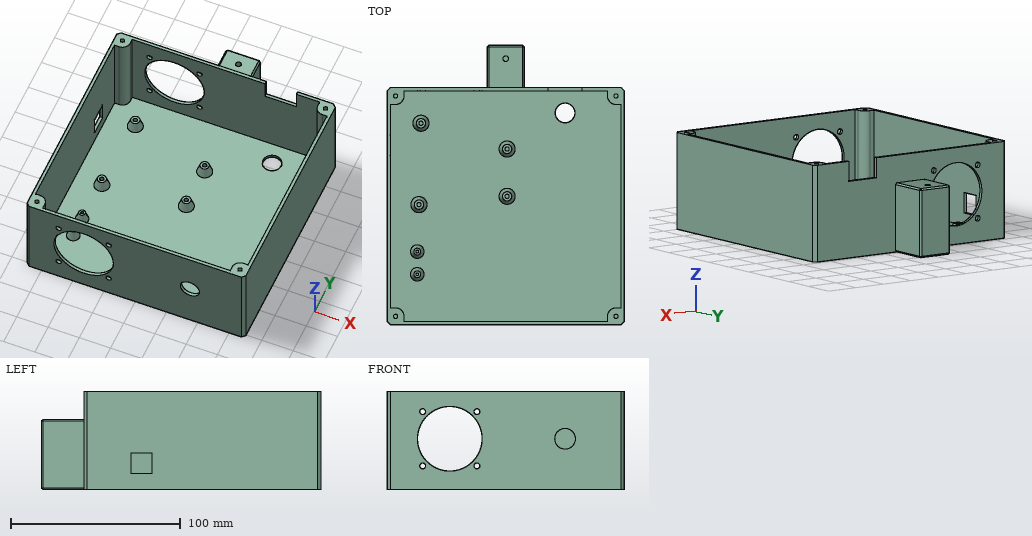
import cadquery as cq

side = 140.0
height = 58.0
wall = 2.0
floor = 2.0
edge_chamfer = 2.0

post_size = 10.0
post_radius = post_size / 2
lid_screw_dia = 2.5
lid_screw_depth = 20.0

fan_x = 37.0
fan_z = 30.0
fan_dia = 38.0
fan_screw_pitch = 32.0
fan_screw_dia = 3.3

socket_x = 105.0
socket_z = fan_z
socket_dia = 12.2

cable_hole_x = socket_x
cable_hole_y = 125.0
cable_hole_dia = 11.5
notch_x = cable_hole_x
notch_width = 20.0
notch_depth = 12.0

port_size = 12.2
port_y = 106.0
port_z = 15.5

standoff_height = 6.0
board_base_dia = 9.5
board_top_dia = 5.5
board_screw_dia = 2.5
board_x = 18.8
board_y = 70.9
board_hole_offsets = [(0, 0), (1.2, 48.0), (52.0, 32.8), (52.0, 4.9)]
module_base_dia = 8.0
module_top_dia = 4.0
module_screw_dia = 1.6
module_x = 17.8
module_ys = (29.8, 43.2)

block_width = 22.0
block_length = 25.0
block_height = 41.5
block_chamfer = 1.0
block_screw_dia = 3.3
block_screw_from_end = 8.0
block_screw_depth = 10.0


def box_between(x, y, z, size_x, size_y, size_z):
    """Box with its lowest corner at (x, y, z)."""
    return cq.Workplane("XY").box(size_x, size_y, size_z, centered=False).translate((x, y, z))


def cylinder_along_y(x, z, diameter, length):
    """Cylinder that runs in +Y from the outer face of the front wall."""
    start = cq.Vector(x, 0, z)
    return cq.Workplane(cq.Solid.makeCylinder(diameter / 2, length, start, cq.Vector(0, 1, 0)))


def cylinder_down(x, y, top, diameter, depth):
    """Cylinder that runs down from the level top."""
    return cq.Workplane(cq.Solid.makeCylinder(diameter / 2, depth, cq.Vector(x, y, top - depth)))


def corner_post(x, y):
    """Square post centred on (x, y), rounded on the edge that faces the inside of the box."""
    inward_x = ">X" if x < side / 2 else "<X"
    inward_y = ">Y" if y < side / 2 else "<Y"
    post = box_between(x - post_size / 2, y - post_size / 2, 0, post_size, post_size, height)
    return post.edges("|Z").edges(f"{inward_x} and {inward_y}").fillet(post_radius)


def make_shell():
    """Box with the cavity, the four corner posts and their screw holes."""
    shell = box_between(0, 0, 0, side, side, height).edges("|Z").chamfer(edge_chamfer)
    inner_side = side - 2 * wall
    cavity = box_between(wall, wall, floor, inner_side, inner_side, height - floor)
    post_places = (post_size / 2, side - post_size / 2)
    post_centers = [(x, y) for x in post_places for y in post_places]
    for x, y in post_centers:
        cavity = cavity.cut(corner_post(x, y))
    shell = shell.cut(cavity)
    for x, y in post_centers:
        shell = shell.cut(cylinder_down(x, y, height, lid_screw_dia, lid_screw_depth))
    return shell


def cut_fan_openings(shell):
    """Fan opening and its four screw holes, through both the front and back walls."""
    shell = shell.cut(cylinder_along_y(fan_x, fan_z, fan_dia, side))
    half_pitch = fan_screw_pitch / 2
    for x in (fan_x - half_pitch, fan_x + half_pitch):
        for z in (fan_z - half_pitch, fan_z + half_pitch):
            shell = shell.cut(cylinder_along_y(x, z, fan_screw_dia, side))
    return shell


def cut_cable_openings(shell):
    """Socket hole, cable hole, square port and the notch in the back rim."""
    socket = cylinder_along_y(socket_x, socket_z, socket_dia, wall)
    cable_hole = cylinder_down(cable_hole_x, cable_hole_y, floor, cable_hole_dia, floor)
    port = box_between(0, port_y - port_size / 2, port_z - port_size / 2, wall, port_size, port_size)
    notch_left = notch_x - notch_width / 2
    notch = box_between(notch_left, side - wall, height - notch_depth, notch_width, wall, notch_depth)
    return shell.cut(socket).cut(cable_hole).cut(port).cut(notch)


def add_standoff(shell, x, y, base_dia, top_dia, screw_dia):
    """Cone on the floor with a screw hole down to floor level."""
    cone = cq.Solid.makeCone(base_dia / 2, top_dia / 2, standoff_height, cq.Vector(x, y, floor))
    screw_hole = cylinder_down(x, y, floor + standoff_height, screw_dia, standoff_height)
    return shell.union(cq.Workplane(cone)).cut(screw_hole)


def make_enclosure():
    body = cut_cable_openings(cut_fan_openings(make_shell()))
    for offset_x, offset_y in board_hole_offsets:
        x = board_x + offset_x
        y = board_y + offset_y
        body = add_standoff(body, x, y, board_base_dia, board_top_dia, board_screw_dia)
    for y in module_ys:
        body = add_standoff(body, module_x, y, module_base_dia, module_top_dia, module_screw_dia)
    return body


def make_mounting_block():
    """Block centred on the back wall, chamfered on all edges away from the wall."""
    center_x = side / 2
    block = box_between(center_x - block_width / 2, side, 0, block_width, block_length, block_height)
    block = block.edges("not <Y").chamfer(block_chamfer)
    screw_y = side + block_length - block_screw_from_end
    return block.cut(cylinder_down(center_x, screw_y, block_height, block_screw_dia, block_screw_depth))


enclosure = make_enclosure().solids()
mounting_block = make_mounting_block().solids()
result = cq.Compound.makeCompound([enclosure.val(), mounting_block.val()])